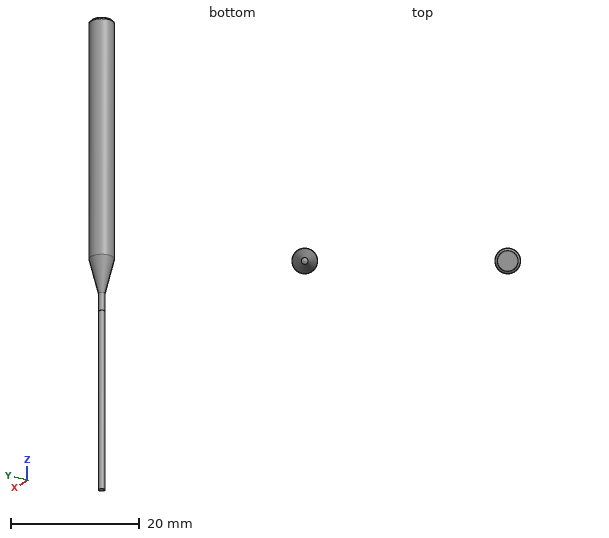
import cadquery as cq
import math

overall_length = 79.0
shank_diameter = 4.0
shank_length = 40.0
shank_chamfer = 0.4
taper_length = 5.8
drill_diameter = 1.05
drill_length = 30.2
point_angle = 140.0

shank_radius = shank_diameter / 2
drill_radius = drill_diameter / 2
neck_radius = drill_radius
shank_bottom = overall_length - shank_length
taper_bottom = shank_bottom - taper_length
point_height = drill_radius / math.tan(math.radians(point_angle / 2))


def turned(outline):
    """Solid of revolution about Z from (radius, height) points that start and end on the axis."""
    return cq.Workplane("XZ").polyline(outline).close().revolve(360, (0, 0, 0), (0, 1, 0))


def make_shank():
    """Chamfered shank that tapers down to a short straight neck."""
    return turned([
        (0, drill_length),
        (neck_radius, drill_length),
        (neck_radius, taper_bottom),
        (shank_radius, shank_bottom),
        (shank_radius, overall_length - shank_chamfer),
        (shank_radius - shank_chamfer, overall_length),
        (0, overall_length),
    ])


def make_drill():
    """Slim round drill with a conical point, butted against the end of the neck."""
    return turned([
        (0, 0),
        (drill_radius, point_height),
        (drill_radius, drill_length),
        (0, drill_length),
    ])


shank = make_shank()
drill = make_drill()

result = cq.Compound.makeCompound([shank.val(), drill.val()])